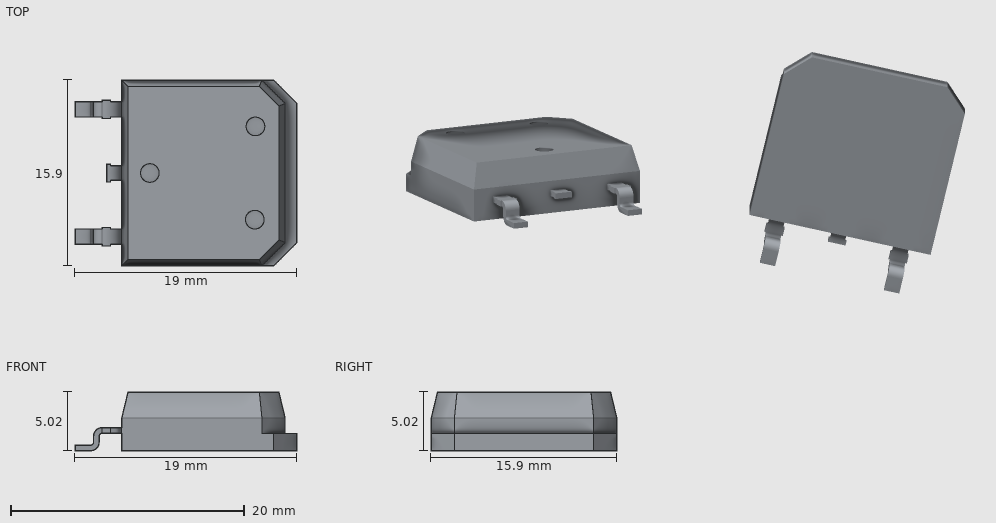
import cadquery as cq
import math

total_length = 19.0
body_width = 15.9
total_height = 5.02

body_start = 3.99
body_end = 18.0
body_base_height = 2.81
body_top_inset = 0.53
corner_chamfer = 2.0

slug_height = 1.5
slug_start = body_end - corner_chamfer

lead_thickness = 0.5
lead_top = 2.0
lead_pitch = 5.45
lead_width = 1.33
shoulder_width = 1.6
shoulder_start = 2.32
shoulder_end = 3.04
bend_inner_radius = 0.25
bend_outer_radius = bend_inner_radius + lead_thickness

stub_start = 2.7
stub_width = 1.27
stub_shoulder_width = 1.54

mark_diameter = 1.6
mark_depth = 0.1
mark_centres = [(6.4, 0), (15.45, 3.99), (15.39, -3.99)]


def chamfered_block(x_start, x_end, height, taper=0):
    """Full-width block with its two +X corners cut at 45 degrees."""
    half_width = body_width / 2
    outline = [
        (x_start, -half_width),
        (x_end - corner_chamfer, -half_width),
        (x_end, -half_width + corner_chamfer),
        (x_end, half_width - corner_chamfer),
        (x_end - corner_chamfer, half_width),
        (x_start, half_width),
    ]
    return cq.Workplane("XY").polyline(outline).close().extrude(height, taper=taper)


def lead_bar(x_start, x_end, width, y_centre):
    """Straight piece of lead at the height where it leaves the body."""
    bar = cq.Workplane("XY").box(x_end - x_start, width, lead_thickness, centered=(False, True, False))
    return bar.translate((x_start, y_centre, lead_top - lead_thickness))


def bent_lead(y_centre):
    """Gull-wing lead: flat foot, two quarter bends, then a straight run into the body."""
    riser_left = shoulder_start - bend_outer_radius
    riser_right = riser_left + lead_thickness
    foot_end = riser_left - bend_inner_radius
    lead_bottom = lead_top - lead_thickness
    lower_bend_z = bend_outer_radius
    upper_bend_z = lead_top - bend_outer_radius
    diagonal = math.sqrt(0.5)
    inner_reach = bend_inner_radius * diagonal
    outer_reach = bend_outer_radius * diagonal
    profile = (
        cq.Workplane("XZ")
        .moveTo(0, 0)
        .lineTo(foot_end, 0)
        .threePointArc((foot_end + outer_reach, lower_bend_z - outer_reach), (riser_right, lower_bend_z))
        .lineTo(riser_right, upper_bend_z)
        .threePointArc(
            (shoulder_start - inner_reach, upper_bend_z + inner_reach), (shoulder_start, lead_bottom)
        )
        .lineTo(body_start, lead_bottom)
        .lineTo(body_start, lead_top)
        .lineTo(shoulder_start, lead_top)
        .threePointArc(
            (shoulder_start - outer_reach, upper_bend_z + outer_reach), (riser_left, upper_bend_z)
        )
        .lineTo(riser_left, lower_bend_z)
        .threePointArc((foot_end + inner_reach, lower_bend_z - inner_reach), (foot_end, lead_thickness))
        .lineTo(0, lead_thickness)
        .close()
    )
    lead = profile.extrude(lead_width / 2, both=True).translate((0, y_centre, 0))
    return lead.union(lead_bar(shoulder_start, shoulder_end, shoulder_width, y_centre))


def stub_lead():
    """Middle lead, cut off within its wide shoulder."""
    stub = lead_bar(stub_start, body_start, stub_width, 0)
    return stub.union(lead_bar(stub_start, shoulder_end, stub_shoulder_width, 0))


upper_height = total_height - body_base_height
draft_angle = math.degrees(math.atan2(body_top_inset, upper_height))
base = chamfered_block(body_start, body_end, body_base_height)
upper = chamfered_block(body_start, body_end, upper_height, draft_angle)
body = base.union(upper.translate((0, 0, body_base_height)))

marks = (
    cq.Workplane("XY", origin=(0, 0, total_height))
    .pushPoints(mark_centres)
    .circle(mark_diameter / 2)
    .extrude(-mark_depth)
)
slug = chamfered_block(slug_start, total_length, slug_height)

result = body.cut(marks).union(slug).union(stub_lead())
for side in (-1, 1):
    result = result.union(bent_lead(side * lead_pitch))